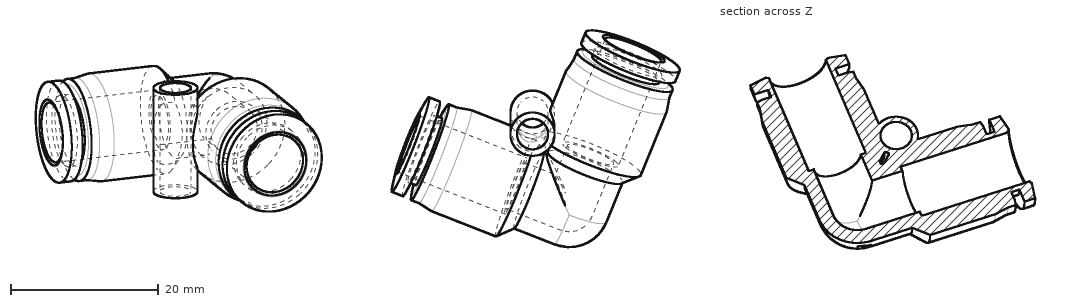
import cadquery as cq

body_radius = 7.395
arm_length = 31 - body_radius
tube_radius = 5.5

shoulder_start = 5.92
shoulder_end = shoulder_start + body_radius - tube_radius
taper_start = 17.25
rim_start = 19.22
rim_end = 20.55
flange_start = 21.65
flange_edge = 23.22

rim_radius = 7.0
rim_bevel_length = 0.2
rim_face_radius = 6.25
neck_radius = 4.9
flange_radius = 6.9
face_radius = 4.68

passage_radius = 3.38
socket_radius = 4.1
socket_bottom = shoulder_end
mouth_radius = 4.5
mouth_depth = 0.2

eyelet_offset = 8.93
eyelet_radius = 3.0
eyelet_hole_radius = 2.1


def revolve_about_x(outline):
    """Revolve a closed (station, radius) outline about the X axis."""
    profile = cq.Workplane("XY").polyline(outline).close()
    return profile.revolve(360, (0, 0, 0), (1, 0, 0))


def along_both_arms(shape):
    """Join a shape lying along +X with its mirror image along -Y."""
    mirrored = shape.rotate((0, 0, 0), (0, 0, 1), 90).mirror("XZ")
    return shape.union(mirrored)


def arm_outside():
    return revolve_about_x([
        (0, 0),
        (0, tube_radius),
        (shoulder_start, tube_radius),
        (shoulder_end, body_radius),
        (taper_start, body_radius),
        (rim_start, rim_radius),
        (rim_end - rim_bevel_length, rim_radius),
        (rim_end, rim_face_radius),
        (rim_end, neck_radius),
        (flange_start, neck_radius),
        (flange_start, flange_radius),
        (flange_edge, flange_radius),
        (arm_length, face_radius),
        (arm_length, 0),
    ])


def arm_passage():
    return revolve_about_x([
        (0, 0),
        (0, passage_radius),
        (socket_bottom, passage_radius),
        (socket_bottom, socket_radius),
        (arm_length - mouth_depth, socket_radius),
        (arm_length, mouth_radius),
        (arm_length, 0),
    ])


def eyelet_cylinder(radius, half_height):
    """Upright cylinder on the eyelet axis, centred on the arm plane."""
    centre = cq.Workplane("XY").center(eyelet_offset, -eyelet_offset)
    return centre.circle(radius).extrude(half_height, both=True)


outside = along_both_arms(arm_outside()).union(cq.Workplane("XY").sphere(tube_radius))
passage = along_both_arms(arm_passage()).union(cq.Workplane("XY").sphere(passage_radius))

eyelet_hole = eyelet_cylinder(eyelet_hole_radius, 2 * body_radius)
eyelet = eyelet_cylinder(eyelet_radius, body_radius).cut(eyelet_hole)

result = outside.cut(eyelet_hole).union(eyelet).cut(passage)